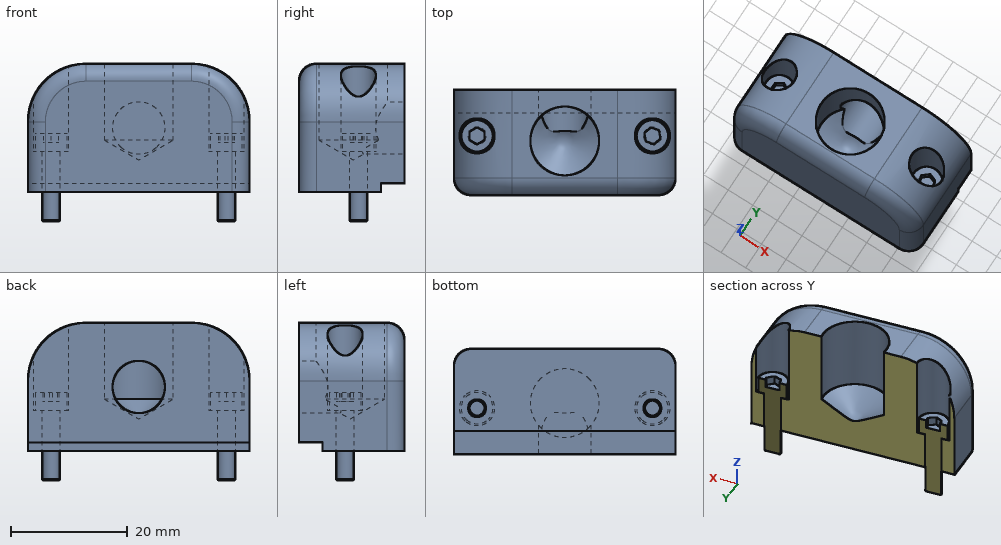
import cadquery as cq
import math

width = 38.0
depth = 18.1
height = 22.0
shoulder_radius = 10.0
front_fillet = 3.0
step_depth = 4.03
step_height = 1.5

bore_radius = 5.9
bore_y = -8.78
bore_rim_z = 8.9
drill_point_angle = 120.0
bore_tip_z = bore_rim_z - bore_radius / math.tan(math.radians(drill_point_angle / 2))

cross_radius = 4.5
cross_z = 11.0

screw_x = width / 2 - 4.0
screw_y = -7.9
shank_radius = 1.52
shank_projection = 5.0
shank_chamfer = 0.23
head_radius = 2.7
head_height = 3.0
seat_z = 7.0
counterbore_radius = 3.0
socket_flats = 2.55
socket_depth = 1.52
left_socket_turn = 30.0
right_socket_turn = 40.0


def rod(radius, x, y, bottom, top):
    """Vertical cylinder between two heights."""
    return cq.Workplane("XY", origin=(x, y, bottom)).circle(radius).extrude(top - bottom)


def make_shell():
    """Block with round shoulders, a rounded front rim and a step under the back."""
    block = cq.Workplane("XY").box(width, depth, height, centered=(True, False, False))
    block = block.translate((0, -depth, 0))
    block = block.edges("|Y and >Z").fillet(shoulder_radius)
    block = block.faces("<Y").edges("not <Z").fillet(front_fillet)
    step = cq.Workplane("XY").box(width, step_depth, step_height, centered=(True, False, False))
    return block.cut(step.translate((0, -step_depth, 0)))


def make_bore():
    """Cutter for the vertical bore: a cylinder ending in a cone."""
    return (
        cq.Workplane("XZ")
        .moveTo(0, bore_tip_z)
        .lineTo(bore_radius, bore_rim_z)
        .lineTo(bore_radius, height)
        .lineTo(0, height)
        .close()
        .revolve(360, (0, 0), (0, 1))
        .translate((0, bore_y, 0))
    )


def make_cross_hole():
    """Cutter for the horizontal hole, from the back face to the bore axis."""
    return cq.Workplane("XZ").center(0, cross_z).circle(cross_radius).extrude(-bore_y)


def make_housing():
    housing = make_shell().cut(make_bore()).cut(make_cross_hole())
    for x in (-screw_x, screw_x):
        housing = housing.cut(rod(shank_radius, x, screw_y, 0, seat_z))
        housing = housing.cut(rod(counterbore_radius, x, screw_y, seat_z, height))
    return housing


def make_screw(x, socket_turn):
    """Socket head screw seated in its counterbore, its hexagon turned about Z."""
    head_top = seat_z + head_height
    shank = rod(shank_radius, x, screw_y, -shank_projection, seat_z)
    shank = shank.faces("<Z").chamfer(shank_chamfer)
    head = rod(head_radius, x, screw_y, seat_z, head_top)
    socket = (
        cq.Workplane("XY")
        .polygon(6, socket_flats / math.cos(math.pi / 6))
        .extrude(-socket_depth)
        .rotate((0, 0, 0), (0, 0, 1), socket_turn)
        .translate((x, screw_y, head_top))
    )
    return shank.union(head).cut(socket)


housing = make_housing()
screws = []
for x, socket_turn in ((-screw_x, left_socket_turn), (screw_x, right_socket_turn)):
    screws.append(make_screw(x, socket_turn).val())

result = cq.Compound.makeCompound([housing.val(), *screws])